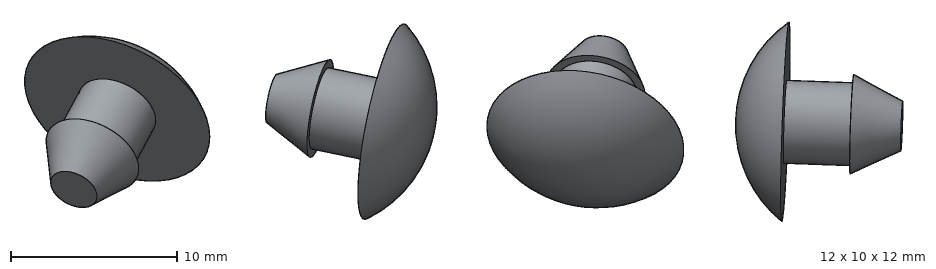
import cadquery as cq

head_diameter = 12.0
head_height = 3.0
shank_diameter = 5.0
shank_length = 4.0
barb_diameter = 6.0
tip_diameter = 3.0
barb_length = 3.0

head_radius = head_diameter / 2
dome_radius = (head_radius**2 + head_height**2) / (2 * head_height)
dome_center_y = head_height - dome_radius

barb_shoulder_y = -shank_length
tip_y = barb_shoulder_y - barb_length


def make_head():
    """Spherical cap with a flat underside."""
    mid_radius = head_radius / 2
    mid_y = dome_center_y + (dome_radius**2 - mid_radius**2) ** 0.5
    return (
        cq.Workplane("XY")
        .lineTo(head_radius, 0)
        .threePointArc((mid_radius, mid_y), (0, head_height))
        .close()
        .revolve(360, (0, 0, 0), (0, 1, 0))
    )


def make_stem():
    """Cylindrical shank ending in a tapered barb with a flat tip."""
    return (
        cq.Workplane("YZ")
        .lineTo(0, shank_diameter / 2)
        .lineTo(barb_shoulder_y, shank_diameter / 2)
        .lineTo(barb_shoulder_y, barb_diameter / 2)
        .lineTo(tip_y, tip_diameter / 2)
        .lineTo(tip_y, 0)
        .close()
        .revolve(360, (0, 0, 0), (1, 0, 0))
    )


result = make_head().union(make_stem())